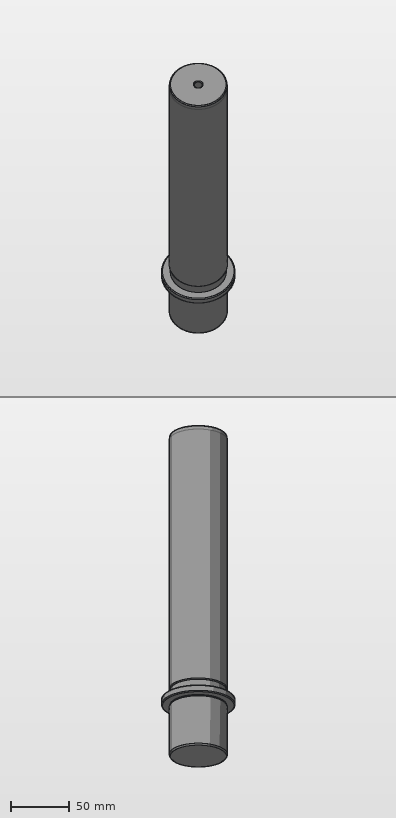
import cadquery as cq

total_length = 297.0
shaft_radius = 25.0
flange_radius = 31.5

flange_bottom = 47.0
flange_top = 53.2
neck_top = 62.0

bottom_chamfer_height = 1.5
bottom_chamfer_width = 1.0
flange_chamfer = 1.0
relief_height = 1.5
relief_depth = 0.5
neck_depth = 1.0
neck_shoulder_height = 1.0
lead_in_height = 4.0
lead_in_width = 0.3
top_chamfer = 1.0

hole_diameter = 6.8
hole_mouth_diameter = 8.3
hole_depth = 17.8


def make_turned_body():
    """Revolve the half outline (radius, height) about the Z axis."""
    neck_radius = shaft_radius - neck_depth
    relief_radius = shaft_radius - relief_depth
    lead_in_radius = shaft_radius - lead_in_width
    outline = [
        (0, 0),
        (shaft_radius - bottom_chamfer_width, 0),
        (shaft_radius, bottom_chamfer_height),
        (shaft_radius, flange_bottom - relief_height),
        (relief_radius, flange_bottom - relief_height + relief_depth),
        (relief_radius, flange_bottom),
        (flange_radius - flange_chamfer, flange_bottom),
        (flange_radius, flange_bottom + flange_chamfer),
        (flange_radius, flange_top - flange_chamfer),
        (flange_radius - flange_chamfer, flange_top),
        (neck_radius, flange_top),
        (neck_radius, neck_top - neck_shoulder_height),
        (shaft_radius, neck_top),
        (shaft_radius, total_length - lead_in_height),
        (lead_in_radius, total_length - top_chamfer),
        (lead_in_radius - top_chamfer, total_length),
        (0, total_length),
    ]
    return cq.Workplane("XZ").polyline(outline).close().revolve(360, (0, 0), (0, 1))


def make_hole_cutter():
    """Half outline of the hole with its countersunk mouth, revolved about Z."""
    hole_radius = hole_diameter / 2
    mouth_radius = hole_mouth_diameter / 2
    countersink_depth = mouth_radius - hole_radius
    hole_floor = total_length - hole_depth
    outline = [
        (0, hole_floor),
        (hole_radius, hole_floor),
        (hole_radius, total_length - countersink_depth),
        (mouth_radius, total_length),
        (0, total_length),
    ]
    return cq.Workplane("XZ").polyline(outline).close().revolve(360, (0, 0), (0, 1))


result = make_turned_body().cut(make_hole_cutter())